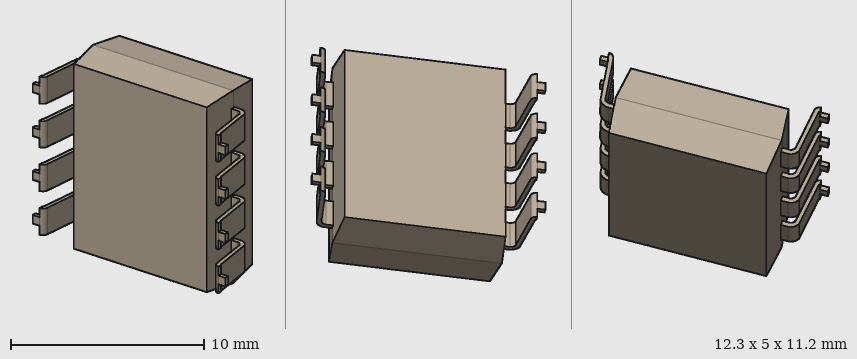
import cadquery as cq
import math

body_width = 8.95
body_height = 11.15
half_depth = 2.0
draft_angle = 6.5

lead_span = 12.3
lead_thickness = 0.26
lead_width = 1.54
lead_pitch = 2.53
leads_per_side = 4
foot_drop = 3.0
embed_depth = 0.37

foot_length = 0.43
foot_width = 0.5

shoulder_end_x = 4.85
shoulder_inner_radius = 0.31
shoulder_bend_angle = 65.0
ankle_inner_radius = 0.05
ankle_bend_angle = 83.0


def body_half(direction):
    """Tapered block growing from the parting plane towards +Y (1) or -Y (-1)."""
    plane = cq.Plane(origin=(0, 0, 0), xDir=(1, 0, 0), normal=(0, direction, 0))
    outline = cq.Workplane(plane).rect(body_width, body_height)
    return outline.extrude(half_depth, taper=draft_angle)


def around(center, radius, angle):
    """Point on a circle, with the angle in degrees counted from +X."""
    radians = math.radians(angle)
    return (center[0] + radius * math.cos(radians), center[1] + radius * math.sin(radians))


def lead_strip():
    """Bent part of a +X lead, full width, centred on Z = 0."""
    root_x = body_width / 2 - embed_depth
    ankle_x = lead_span / 2 - foot_length
    half_thickness = lead_thickness / 2

    shoulder_outer_radius = shoulder_inner_radius + lead_thickness
    shoulder_center = (shoulder_end_x, half_thickness - shoulder_outer_radius)
    shoulder_stop = 90 - shoulder_bend_angle
    shoulder_middle = 90 - shoulder_bend_angle / 2

    ankle_outer_radius = ankle_inner_radius + lead_thickness
    ankle_center = (ankle_x, ankle_outer_radius - foot_drop)
    ankle_start = 270 - ankle_bend_angle
    ankle_middle = 270 - ankle_bend_angle / 2

    return (
        cq.Workplane("XY")
        .workplane(offset=-lead_width / 2)
        .moveTo(root_x, half_thickness)
        .lineTo(shoulder_end_x, half_thickness)
        .threePointArc(
            around(shoulder_center, shoulder_outer_radius, shoulder_middle),
            around(shoulder_center, shoulder_outer_radius, shoulder_stop),
        )
        .lineTo(*around(ankle_center, ankle_inner_radius, ankle_start))
        .threePointArc(
            around(ankle_center, ankle_inner_radius, ankle_middle),
            around(ankle_center, ankle_inner_radius, 270),
        )
        .lineTo(ankle_x, -foot_drop)
        .threePointArc(
            around(ankle_center, ankle_outer_radius, ankle_middle),
            around(ankle_center, ankle_outer_radius, ankle_start),
        )
        .lineTo(*around(shoulder_center, shoulder_inner_radius, shoulder_stop))
        .threePointArc(
            around(shoulder_center, shoulder_inner_radius, shoulder_middle),
            (shoulder_end_x, -half_thickness),
        )
        .lineTo(root_x, -half_thickness)
        .close()
        .extrude(lead_width)
    )


def lead_foot():
    """Narrow flat foot reaching from the ankle bend to the lead tip."""
    return cq.Workplane("XY").box(foot_length, lead_thickness, foot_width).translate(
        (lead_span / 2 - foot_length / 2, lead_thickness / 2 - foot_drop, 0)
    )


result = body_half(1).union(body_half(-1))

right_lead = lead_strip().union(lead_foot())
left_lead = right_lead.mirror("YZ")
for index in range(leads_per_side):
    lead_z = (index - (leads_per_side - 1) / 2) * lead_pitch
    for lead in (right_lead, left_lead):
        result = result.union(lead.translate((0, 0, lead_z)))